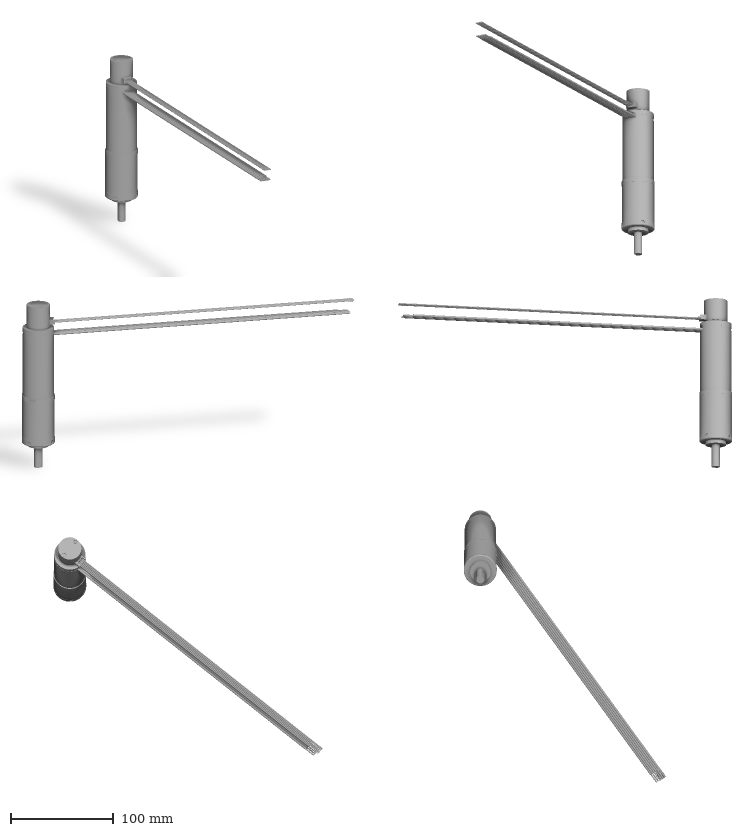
import cadquery as cq

gearbox_diameter = 32.0
overall_length = 331.0
overall_height = 166.5
wire_end = overall_length - gearbox_diameter / 2

shaft_diameter = 8.0
shaft_length = 22.0
shaft_flat_length = 20.0
shaft_flat_distance = 3.15

pilot_diameter = 20.2
pilot_height = 3.3
gearbox_bottom = shaft_length + pilot_height
gearbox_top = 74.0
lower_ring_height = 6.3
upper_ring_height = 4.3
gearbox_tube_diameter = 31.8
gearbox_chamfer = 0.5

side_screw_diameter = 4.0
side_screw_depth = 1.3
side_screw_z = gearbox_bottom + 3.0
ring_flat_distance = 15.0
ring_flat_height = 3.3
diagonal_angle = 45

motor_diameter = 30.5
motor_top = 136.5
band_diameter = 30.0
band_top = 138.7
rim_top = 143.3
exit_window_bottom = 135.5
exit_window_top = 140.5
exit_window_width = 12.0
exit_window_x = 14.2

cap_diameter = 22.5
neck_diameter = 21.5
neck_height = 1.5
cap_screw_diameter = 4.0
cap_screw_depth = 1.5
cap_screw_head_diameter = 2.5
cap_screw_head_height = 1.0
cap_screw_radius = 8.5

connector_width = 10.0
connector_inner_x = 8.3
connector_bottom = 146.3
connector_top = 151.0
connector_end_x = 15.5
connector_lip_height = 1.3
connector_lip_end_x = 16.5
connector_opening_width = 8.0
connector_opening_x = 12.5
cap_slot_x = 10.0

encoder_wire_count = 6
encoder_wire_pitch = 1.25
encoder_wire_diameter = 1.0
encoder_wire_z = 148.0
sleeve_diameter = 1.2
sleeve_start = 309.5
sleeve_end = 314.0

motor_wire_count = 6
motor_wire_pitch = 1.9
motor_wire_diameter = 2.05
motor_wire_z = 136.5
insulation_end = 301.0
stripped_diameter = 1.3
stripped_drop = 0.3
stripped_end = 310.8
wire_root_x = 13.2


def cylinder(diameter, bottom, top):
    return cq.Workplane("XY").workplane(offset=bottom).circle(diameter / 2).extrude(top - bottom)


def block(x_start, x_end, width, bottom, top):
    return cq.Workplane("XY").box(
        x_end - x_start, width, top - bottom, centered=(False, True, False)
    ).translate((x_start, 0, bottom))


def rod(diameter, x_start, x_end, y, z):
    return cq.Workplane("YZ", origin=(x_start, y, z)).circle(diameter / 2).extrude(x_end - x_start)


def row_positions(count, pitch):
    return [(i - (count - 1) / 2) * pitch for i in range(count)]


def make_shaft():
    flat_cutter = block(
        -shaft_diameter, shaft_diameter, shaft_diameter, 0, shaft_flat_length
    ).translate((0, -shaft_flat_distance - shaft_diameter / 2, 0))
    return cylinder(shaft_diameter, 0, gearbox_bottom).cut(flat_cutter)


def make_gearbox():
    lower_ring_top = gearbox_bottom + lower_ring_height
    upper_ring_bottom = gearbox_top - upper_ring_height
    lower_ring = cylinder(gearbox_diameter, gearbox_bottom, lower_ring_top)
    lower_ring = lower_ring.faces("<Z").edges().chamfer(gearbox_chamfer)
    upper_ring = cylinder(gearbox_diameter, upper_ring_bottom, gearbox_top)

    recess_floor = gearbox_diameter / 2 - side_screw_depth
    recess = rod(side_screw_diameter, recess_floor, gearbox_diameter, 0, side_screw_z)
    for quarter in range(4):
        angle = diagonal_angle + 90 * quarter
        lower_ring = lower_ring.cut(recess.rotate((0, 0, 0), (0, 0, 1), angle))

    flat_cutter = block(
        ring_flat_distance, gearbox_diameter, gearbox_diameter, gearbox_top - ring_flat_height, gearbox_top
    )
    upper_ring = upper_ring.cut(flat_cutter.rotate((0, 0, 0), (0, 0, 1), 180 + diagonal_angle))

    pilot = cylinder(pilot_diameter, shaft_length, gearbox_bottom)
    tube = cylinder(gearbox_tube_diameter, lower_ring_top, upper_ring_bottom)
    return pilot.union(lower_ring).union(tube).union(upper_ring)


def make_motor():
    can = cylinder(motor_diameter, gearbox_top, motor_top)
    band = cylinder(band_diameter, motor_top, band_top)
    rim = cylinder(motor_diameter, band_top, rim_top)
    exit_window = block(
        exit_window_x, gearbox_diameter, exit_window_width, exit_window_bottom, exit_window_top
    )
    return can.union(band).union(rim).cut(exit_window)


def make_encoder_cap():
    neck_top = rim_top + neck_height
    cap = cylinder(neck_diameter, rim_top, neck_top).union(cylinder(cap_diameter, neck_top, overall_height))

    cap = cap.cut(block(cap_slot_x, cap_diameter, connector_width, rim_top, connector_bottom))

    screw_points = [(0, -cap_screw_radius), (0, cap_screw_radius)]
    recess_floor = overall_height - cap_screw_depth
    floor_plane = cq.Workplane("XY").workplane(offset=recess_floor).pushPoints(screw_points)
    cap = cap.cut(floor_plane.circle(cap_screw_diameter / 2).extrude(cap_screw_depth))
    return cap.union(floor_plane.circle(cap_screw_head_diameter / 2).extrude(cap_screw_head_height))


def make_connector():
    lip_bottom = connector_top - connector_lip_height
    body = block(connector_inner_x, connector_end_x, connector_width, connector_bottom, lip_bottom)
    lip = block(connector_inner_x, connector_lip_end_x, connector_width, lip_bottom, connector_top)
    opening = block(
        connector_opening_x, connector_lip_end_x, connector_opening_width, encoder_wire_z, connector_top
    )
    return body.union(lip).cut(opening)


def make_encoder_wire(y):
    core = rod(encoder_wire_diameter, wire_root_x, wire_end, y, encoder_wire_z)
    return core.union(rod(sleeve_diameter, sleeve_start, sleeve_end, y, encoder_wire_z))


def make_motor_wire(y):
    insulation = rod(motor_wire_diameter, wire_root_x, insulation_end, y, motor_wire_z)
    stripped_z = motor_wire_z - stripped_drop
    return insulation.union(rod(stripped_diameter, insulation_end, stripped_end, y, stripped_z))


result = make_shaft().union(make_gearbox()).union(make_motor())
result = result.union(make_encoder_cap()).union(make_connector())
for wire_y in row_positions(encoder_wire_count, encoder_wire_pitch):
    result = result.union(make_encoder_wire(wire_y))
for wire_y in row_positions(motor_wire_count, motor_wire_pitch):
    result = result.union(make_motor_wire(wire_y))